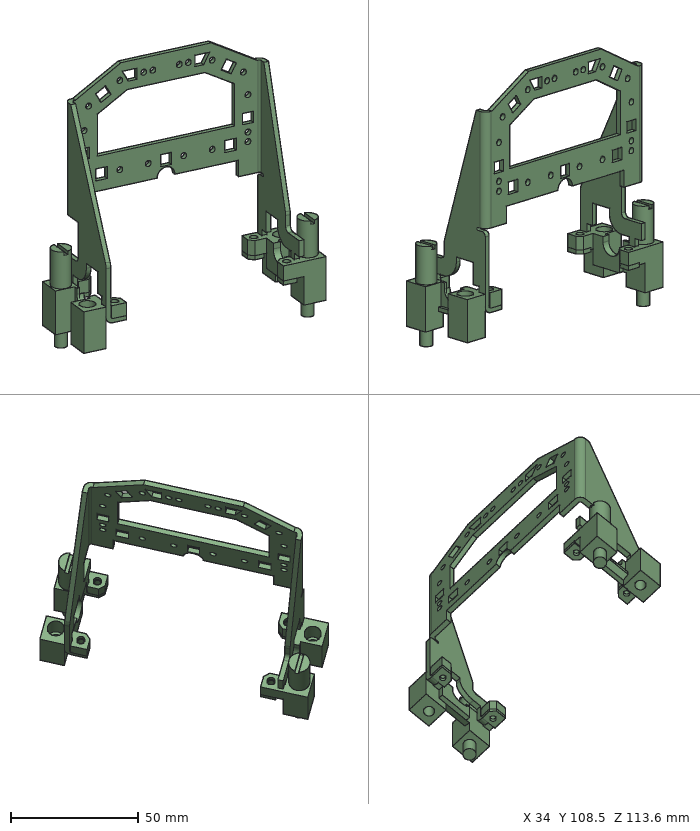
import cadquery as cq
import math

width = 34.0
depth = 108.5
height = 113.6
mid_x = width / 2
joint_overlap = 0.1

sheet = 2.2
bend_outer = 3.1
bend_inner = bend_outer - sheet
plate_outer = 44.3
plate_inner = plate_outer - sheet
bend_start = plate_outer - bend_outer

shoulder_z = 101.8
front_bottom = 53.6
slope_angle = 30
slope_start = 40.7
tan_slope = math.tan(math.radians(slope_angle))

side_top_x = 5.1
slope_foot_z = 43.7
slope_round = 5.1
relief_length = 4.7
relief_height = 1.1
relief_round = 1.8

ear_width = 6.8
strip_width = 3.6
panel_width = 23.0
tongue_edge = 16.1
tongue_radius = 7.2
window_top = 38.6
foot_top = 36.4
foot_bottom = 29.4
foot_fillet = 2.0

tab_bottom = 18.7
tab_thickness = 1.8
tab_top = tab_bottom + tab_thickness
tab_end = 35.1
ear_chamfer = 2.0
ear_hole_edge = 3.5
ear_hole_y = 38.5
ear_hole_diameter = 3.2
ear_hole_depth = 1.7
tab_hole_diameter = 2.5

clamp_top = 26.1
clamp_leg_width = 10.7
clamp_outer = depth / 2
screw_leg_bottom = 7.4
leg_step = 0.9
clamp_lift = 0.9
ear_bottom = 19.7
ear_gap = 0.3
web_outer = 45.5
web_bottom = 13.2
rib_outer = 47.0
rib_top = 16.1
rib_lip_bottom = 14.3
boss_inner = 42.4
saddle_radius = 4.5
saddle_z = 23.6
bore_diameter = 4.3
counterbore_diameter = 6.6
counterbore_depth = 9.1

screw_x = 6.1
screw_y = (plate_outer + clamp_outer) / 2
head_diameter = 8.4
head_top = 41.9
shank_diameter = 5.2
slot_width = 1.6
slot_depth = 1.5


def block(x0, x1, y0, y1, z0, z1):
    """Axis-aligned box between two corners."""
    return cq.Workplane("XY").box(x1 - x0, y1 - y0, z1 - z0, centered=False).translate((x0, y0, z0))


def upright(x, y, diameter, z0, z1):
    """Vertical cylinder from z0 to z1."""
    return cq.Workplane("XY", origin=(x, y, z0)).circle(diameter / 2).extrude(z1 - z0)


def turned(body):
    """The body turned half a turn about the vertical centre line."""
    return body.rotate((mid_x, 0, 0), (mid_x, 0, 1), 180)


opening_half = 30.7
opening_top_half = 17.4
opening_bottom = 75.8
opening_top = 101.5
front_end_inner = 32.5
crossbar_bottom = 60.7
centre_notch_radius = 4.0

hole_diameter = 2.5
column_y = 36.7
crossbar_row_z = 67.8
small_window = 4.8
large_window = 5.1
front_holes = [
    (column_y, 87.9),
    (column_y, 71.9),
    (column_y, crossbar_row_z),
    (20.7, crossbar_row_z),
    (8.0, crossbar_row_z),
    (34.6, 98.0),
    (20.7, 106.1),
    (10.0, 107.4),
    (5.9, 107.4),
]
column_window_z = 77.9
crossbar_window_y = 28.9
tilted_window = (28.1, 101.8)
corner_window = [(19.5, 109.7), (13.0, 109.7), (13.0, 105.0), (16.8, 105.0)]


def front_workplane():
    """Sketch plane on the outer face of the front plate: local x = Y, local y = Z."""
    return cq.Workplane("YZ")


def mirrored(points):
    """Close a half outline by its reflection in Y = 0."""
    return points + [(-y, z) for y, z in reversed(points)]


def front_openings():
    """Round holes and windows of the front plate on one side of its middle."""
    tools = front_workplane().pushPoints(front_holes).circle(hole_diameter / 2).extrude(sheet)
    square = front_workplane().center(column_y, column_window_z).rect(small_window, small_window)
    tools = tools.add(square.extrude(sheet))
    square = front_workplane().center(crossbar_window_y, crossbar_row_z).rect(large_window, large_window)
    tools = tools.add(square.extrude(sheet))
    tilted = front_workplane().transformed(offset=tilted_window, rotate=(0, 0, -slope_angle))
    tools = tools.add(tilted.rect(large_window, small_window).extrude(sheet))
    tools = tools.add(front_workplane().polyline(corner_window).close().extrude(sheet))
    return tools.combine()


def make_front_plate():
    crest_half = slope_start - (height - shoulder_z) / tan_slope
    outline = mirrored([
        (crest_half, height),
        (slope_start, shoulder_z),
        (bend_start, shoulder_z),
        (bend_start, front_bottom),
        (front_end_inner, front_bottom),
        (front_end_inner, crossbar_bottom),
    ])
    opening = mirrored([
        (opening_top_half, opening_top),
        (opening_half, opening_top - (opening_half - opening_top_half) * tan_slope),
        (opening_half, opening_bottom),
    ])
    plate = front_workplane().polyline(outline).close().extrude(sheet)
    plate = plate.cut(front_workplane().polyline(opening).close().extrude(sheet))
    notch = front_workplane().center(0, crossbar_bottom).circle(centre_notch_radius)
    plate = plate.cut(notch.extrude(sheet))
    middle = front_workplane().center(0, crossbar_row_z).rect(small_window, large_window)
    plate = plate.cut(middle.extrude(sheet))
    openings = front_openings()
    return plate.cut(openings).cut(openings.mirror("XZ"))


def make_corner_bend():
    """Quarter-ring bend between the front plate and the -Y side plate."""
    ring = cq.Workplane("XY").circle(bend_outer).circle(bend_inner).extrude(shoulder_z - front_bottom)
    ring = ring.translate((bend_outer, -bend_start, front_bottom))
    return ring.intersect(block(0, bend_outer, -plate_outer, -bend_start, front_bottom, shoulder_z))


def side_lower_profile():
    """Leg, window, tongue and foot; as placed in the +Y plate, with the leg's outer edge at X = 0."""
    foot_strip_end = width - strip_width
    foot_strip_start = width - ear_width
    strip_bottom = tab_bottom + bend_outer
    arc_mid = tongue_radius * math.sqrt(0.5)
    arc_centre = (tongue_edge + tongue_radius, foot_bottom + tongue_radius)
    return (
        cq.Workplane("XZ")
        .moveTo(0, shoulder_z)
        .lineTo(0, strip_bottom)
        .lineTo(strip_width, strip_bottom)
        .lineTo(strip_width, foot_bottom)
        .lineTo(ear_width, foot_bottom)
        .lineTo(ear_width, window_top)
        .lineTo(tongue_edge, window_top)
        .lineTo(tongue_edge, arc_centre[1])
        .threePointArc((arc_centre[0] - arc_mid, arc_centre[1] - arc_mid), (arc_centre[0], foot_bottom))
        .lineTo(foot_strip_start, foot_bottom)
        .lineTo(foot_strip_start, strip_bottom)
        .lineTo(foot_strip_end, strip_bottom)
        .lineTo(foot_strip_end, foot_bottom)
        .lineTo(width, foot_bottom)
        .lineTo(width, foot_top)
        .lineTo(panel_width + foot_fillet, foot_top)
        .radiusArc((panel_width, foot_top + foot_fillet), foot_fillet)
        .lineTo(panel_width, shoulder_z)
        .close()
        .extrude(-sheet)
        .translate((0, plate_inner, 0))
    )


def trim_side_plate(plate, rear_x):
    """Cut the sloping edge down to rear_x, round its foot and clear the room for the bend."""
    plate = plate.cut(block(0, bend_outer, -depth, depth, front_bottom, height))
    above_slope = [(side_top_x, shoulder_z), (rear_x, slope_foot_z), (rear_x, shoulder_z)]
    plate = plate.cut(cq.Workplane("XZ").polyline(above_slope).close().extrude(depth, both=True))
    plate_y = plate.val().Center().y
    slope_corner = cq.selectors.NearestToPointSelector((rear_x, plate_y, slope_foot_z))
    return plate.edges("|Y").edges(slope_corner).fillet(slope_round)


def bend_relief():
    """Round-ended slot below the +Y bend, open at X = 0."""
    radius = relief_height / 2
    end_x = relief_length - radius
    slot = block(0, end_x, plate_inner, plate_outer, front_bottom - relief_height, front_bottom)
    end = cq.Workplane("XZ").center(end_x, front_bottom - radius).circle(radius).extrude(-depth)
    return slot.union(end)


def make_side_plates():
    lower = side_lower_profile()
    plus_y = trim_side_plate(lower, panel_width).cut(bend_relief())
    relief_corner = cq.selectors.NearestToPointSelector(
        (0, (plate_inner + plate_outer) / 2, front_bottom - relief_height)
    )
    plus_y = plus_y.edges("|Y").edges(relief_corner).fillet(relief_round)
    upper_end = width - panel_width + joint_overlap
    upper_front = block(0, upper_end, -plate_outer, -plate_inner, front_bottom, shoulder_z)
    minus_y = trim_side_plate(turned(lower).union(upper_front), width)
    return plus_y, minus_y


def ear_outline(at_rear):
    """Plan of a tab or ear on the -Y side, reaching from the free end to the plate's outer face."""
    points = [
        (0, -plate_outer),
        (0, -tab_end),
        (ear_width - ear_chamfer, -tab_end),
        (ear_width, -tab_end - ear_chamfer),
        (ear_width, -plate_outer),
    ]
    if at_rear:
        points = [(width - x, y) for x, y in points]
    return cq.Workplane("XY").polyline(points).close()


def ear_hole_x(at_rear):
    """X of the hole shared by an ear and its tab."""
    return width - ear_hole_edge if at_rear else ear_hole_edge


def make_tabs():
    """Two bent tabs with their bends, on the -Y side."""
    bend_top = tab_bottom + bend_outer
    tabs = []
    for at_rear, strip_start in ((False, strip_width), (True, width - strip_width)):
        strip_end = width if at_rear else ear_width
        tab = ear_outline(at_rear).extrude(tab_thickness).translate((0, 0, tab_bottom))
        tab = tab.intersect(block(0, width, -bend_start, 0, tab_bottom, tab_top))
        bend = (
            cq.Workplane("YZ")
            .moveTo(-plate_outer, bend_top)
            .radiusArc((-bend_start, tab_bottom), -bend_outer)
            .lineTo(-bend_start, tab_top)
            .radiusArc((-plate_inner, bend_top), bend_outer - tab_thickness)
            .close()
            .extrude(strip_end - strip_start)
            .translate((strip_start, 0, 0))
        )
        hole = upright(ear_hole_x(at_rear), -ear_hole_y, tab_hole_diameter, 0, height)
        tabs.append(tab.union(bend).cut(hole))
    return tabs


def make_bracket():
    bracket = make_front_plate()
    bend = make_corner_bend()
    pieces = [bend, bend.mirror("XZ"), *make_side_plates()]
    for tab in make_tabs():
        pieces += [tab, turned(tab)]
    for piece in pieces:
        bracket = bracket.union(piece)
    return bracket


def clamp_web():
    """Web between the legs with its rib, boss and round-bottomed saddle."""
    legs_inner = (clamp_leg_width, width - clamp_leg_width)
    section = [
        (-plate_outer, clamp_top),
        (-web_outer, clamp_top),
        (-web_outer, rib_top),
        (-rib_outer, rib_top),
        (-rib_outer, rib_lip_bottom),
        (-plate_outer, web_bottom),
    ]
    web = cq.Workplane("YZ").polyline(section).close().extrude(legs_inner[1] - legs_inner[0])
    web = web.translate((legs_inner[0], 0, 0))
    boss = block(mid_x - saddle_radius, width - ear_width, -plate_outer, -boss_inner, web_bottom, clamp_top)
    saddle = cq.Workplane("XZ").center(mid_x, saddle_z).circle(saddle_radius).extrude(depth)
    saddle = saddle.union(
        block(mid_x - saddle_radius, mid_x + saddle_radius, -depth, 0, saddle_z, clamp_top)
    )
    return web.union(boss).cut(saddle)


def make_clamp():
    """The -Y clamp, with the screw leg at the front and the open bore at the rear."""
    front_leg = block(0, clamp_leg_width, -clamp_outer, -plate_outer, screw_leg_bottom, clamp_top)
    rear_leg = block(
        width - clamp_leg_width, width, -clamp_outer, -plate_outer, screw_leg_bottom + leg_step, clamp_top
    )
    clamp = clamp_web().union(front_leg).union(rear_leg)
    for at_rear in (False, True):
        ear = ear_outline(at_rear).extrude(clamp_top - ear_bottom).translate((0, 0, ear_bottom))
        hole_x = ear_hole_x(at_rear)
        ear = ear.cut(upright(hole_x, -ear_hole_y, tab_hole_diameter, 0, height))
        ear = ear.cut(upright(hole_x, -ear_hole_y, ear_hole_diameter, clamp_top - ear_hole_depth, height))
        clamp = clamp.union(ear)
    for x0, x1 in ((strip_width, ear_width), (width - strip_width, width)):
        clamp = clamp.cut(block(x0, x1, -plate_outer, ear_gap - plate_inner, 0, clamp_top))
    bore_x = width - screw_x
    shank_hole = upright(screw_x, -screw_y, shank_diameter, 0, height)
    bore = upright(bore_x, -screw_y, bore_diameter, 0, height)
    counterbore = upright(bore_x, -screw_y, counterbore_diameter, clamp_top - counterbore_depth, height)
    return clamp.cut(shank_hole).cut(bore).cut(counterbore)


def make_screw():
    """Slotted screw of the -Y clamp; its shank fills the front leg and ends at Z = 0."""
    shank = upright(0, 0, shank_diameter, 0, clamp_top)
    head = upright(0, 0, head_diameter, clamp_top, head_top)
    slot_floor = head_top - slot_depth
    slot = block(-head_diameter, head_diameter, -slot_width / 2, slot_width / 2, slot_floor, head_top)
    return shank.union(head).cut(slot).translate((screw_x, -screw_y, 0))


def both_sides(body):
    """The -Y body and its turned, lifted copy on the +Y side."""
    return [body, turned(body).translate((0, 0, clamp_lift))]


bracket = make_bracket()
clamps = [clamp.cut(bracket) for clamp in both_sides(make_clamp())]
screws = both_sides(make_screw())

result = cq.Compound.makeCompound(
    [body.solids().val() for body in [bracket, *clamps, *screws]]
)